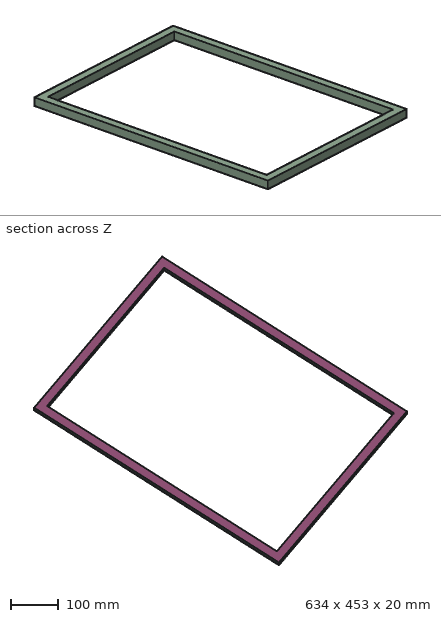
import cadquery as cq

length = 634.0
width = 453.0
bar = 20.0

outer = cq.Workplane("XY").box(length, width, bar)
opening = cq.Workplane("XY").box(length - 2 * bar, width - 2 * bar, bar)

result = outer.cut(opening)